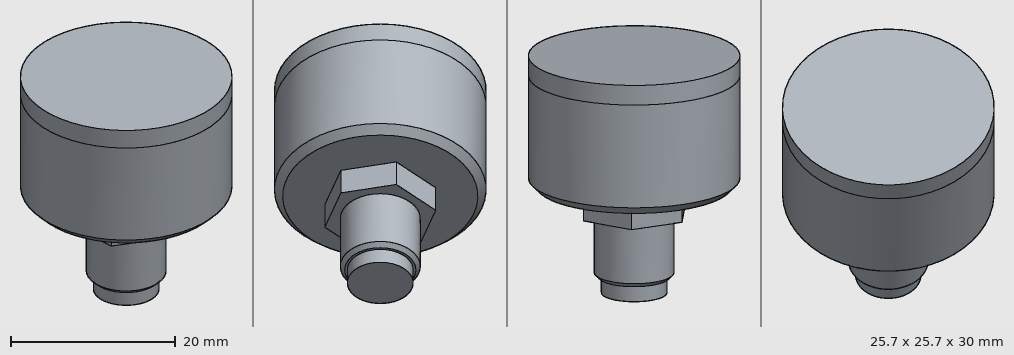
import cadquery as cq
import math

TOTAL_HEIGHT = 30.0
TIP_HEIGHT = 2.0
STEM_CONE_HEIGHT = 0.55
HEX_BOTTOM = 10.0
HOUSING_BOTTOM = 13.5
LID_THICKNESS = 2.5
LID_BOTTOM = TOTAL_HEIGHT - LID_THICKNESS

HOUSING_DIAMETER = 25.7
HOUSING_BASE_DIAMETER = 23.7
HEX_ACROSS_FLATS = 12.0
STEM_DIAMETER = 9.72
STEM_CONE_DIAMETER = 8.65
TIP_DIAMETER = 8.0


def make_stem():
    """Round stem with a coned lower end and a narrower tip."""
    tip_radius = TIP_DIAMETER / 2
    cone_radius = STEM_CONE_DIAMETER / 2
    stem_radius = STEM_DIAMETER / 2
    return (
        cq.Workplane("XZ")
        .moveTo(0, 0)
        .lineTo(tip_radius, 0)
        .lineTo(tip_radius, TIP_HEIGHT)
        .lineTo(cone_radius, TIP_HEIGHT)
        .lineTo(stem_radius, TIP_HEIGHT + STEM_CONE_HEIGHT)
        .lineTo(stem_radius, HEX_BOTTOM)
        .lineTo(0, HEX_BOTTOM)
        .close()
        .revolve(360, (0, 0), (0, 1))
    )


def make_hex():
    """Wrench hexagon with its flats facing +X and -X."""
    across_corners = HEX_ACROSS_FLATS / math.cos(math.pi / 6)
    return (
        cq.Workplane("XY", origin=(0, 0, HEX_BOTTOM))
        .transformed(rotate=(0, 0, 90))
        .polygon(6, across_corners)
        .extrude(HOUSING_BOTTOM - HEX_BOTTOM)
    )


def make_drum():
    """Wide cylinder with a 45 degree chamfer around its lower edge."""
    chamfer = (HOUSING_DIAMETER - HOUSING_BASE_DIAMETER) / 2
    return (
        cq.Workplane("XY", origin=(0, 0, HOUSING_BOTTOM))
        .circle(HOUSING_DIAMETER / 2)
        .extrude(LID_BOTTOM - HOUSING_BOTTOM)
        .faces("<Z")
        .chamfer(chamfer)
    )


def make_housing():
    """Drum, wrench hexagon and stem in one piece."""
    return make_drum().union(make_hex()).union(make_stem())


def make_lid():
    """Plain disc that closes the top of the housing, flush with its side."""
    return (
        cq.Workplane("XY", origin=(0, 0, LID_BOTTOM))
        .circle(HOUSING_DIAMETER / 2)
        .extrude(LID_THICKNESS)
    )


housing = make_housing()
lid = make_lid()

result = cq.Compound.makeCompound([housing.val(), lid.val()])